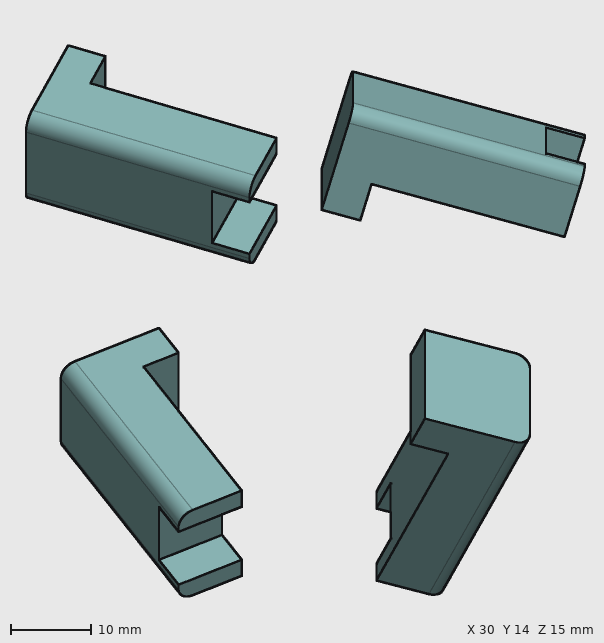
import cadquery as cq

length = 30.0
depth = 14.0
height = 15.0

foot_length = 5.0
bar_depth = 9.0
edge_radius = 2.0

slot_length = 5.0
slot_height = 9.3


def make_body():
    """L-shaped block with its front long edges rounded; front face at Y = 0."""
    bar = cq.Workplane("XY").box(length, bar_depth, height, centered=(False, False, True))
    foot = cq.Workplane("XY").box(foot_length, depth, height, centered=(False, False, True))
    return bar.union(foot).clean().faces("<Y").edges("|X").fillet(edge_radius)


def make_end_slot():
    """Cutter for the slot, running through the bar along Y."""
    return (
        cq.Workplane("XY")
        .box(slot_length, bar_depth, slot_height, centered=(False, False, True))
        .translate((length - slot_length, 0, 0))
    )


result = make_body().cut(make_end_slot())